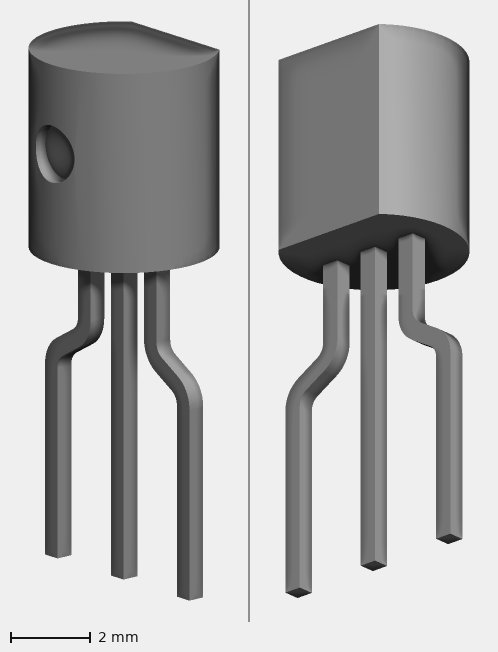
import cadquery as cq
import math

total_height = 13.81

body_radius = 2.4
body_height = 5.2
flat_y = 1.7
body_bottom = total_height - body_height

recess_radius = 0.75
recess_z = 11.48
recess_depth = 0.44

lead_width = 0.48
lead_thickness = 0.45
pitch_at_body = 1.27
pitch_at_tip = 2.54
jog_middle_z = 5.73
jog_angle = math.radians(30)
inner_bend_radius = 0.4
bend_radius = inner_bend_radius + lead_width / 2


def make_body():
    cylinder = cq.Workplane("XY").workplane(offset=body_bottom).circle(body_radius).extrude(body_height)
    beyond_flat = (
        cq.Workplane("XY")
        .box(2 * body_radius, body_radius, total_height, centered=(True, False, False))
        .translate((0, flat_y, 0))
    )
    return cylinder.cut(beyond_flat)


def make_recess():
    return (
        cq.Workplane("XZ", origin=(0, -body_radius + recess_depth, 0))
        .center(0, recess_z)
        .circle(recess_radius)
        .extrude(body_radius)
    )


def make_straight_lead():
    return cq.Workplane("XY").rect(lead_width, lead_thickness).extrude(body_bottom)


def make_bent_lead(side):
    """Sweep a lead down from the body; side is +1 for +X and -1 for -X."""
    jog_run = pitch_at_tip - pitch_at_body
    half_rise = jog_run * math.tan(jog_angle) / 2
    turn = math.pi / 2 - jog_angle
    tangent_length = bend_radius * math.tan(turn / 2)

    upper_start_z = jog_middle_z + half_rise + tangent_length
    lower_end_z = jog_middle_z - half_rise - tangent_length
    bend_run = bend_radius * (1 - math.cos(turn))
    bend_drop = bend_radius * math.sin(turn)
    half_bend_run = bend_radius * (1 - math.cos(turn / 2))
    half_bend_drop = bend_radius * math.sin(turn / 2)

    path = (
        cq.Workplane("XZ")
        .moveTo(side * pitch_at_body, body_bottom)
        .lineTo(side * pitch_at_body, upper_start_z)
        .threePointArc(
            (side * (pitch_at_body + half_bend_run), upper_start_z - half_bend_drop),
            (side * (pitch_at_body + bend_run), upper_start_z - bend_drop),
        )
        .lineTo(side * (pitch_at_tip - bend_run), lower_end_z + bend_drop)
        .threePointArc(
            (side * (pitch_at_tip - half_bend_run), lower_end_z + half_bend_drop),
            (side * pitch_at_tip, lower_end_z),
        )
        .lineTo(side * pitch_at_tip, 0)
    )
    section = cq.Workplane("XY", origin=(side * pitch_at_body, 0, body_bottom)).rect(lead_width, lead_thickness)
    return section.sweep(path)


result = make_body().cut(make_recess()).union(make_straight_lead())
for side in (-1, 1):
    result = result.union(make_bent_lead(side))